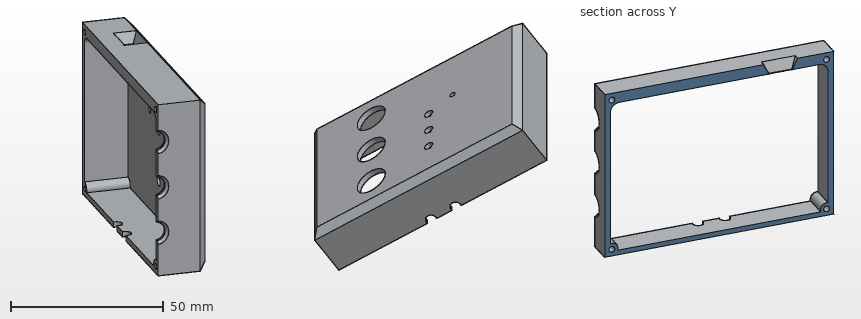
import cadquery as cq

width = 81.5
depth = 17.0
height = 60.0
back_chamfer = 2.5

side_wall = 2.1
bottom_wall = 1.9
top_wall = 4.0
face_thickness = 2.0
cavity_corner_radius = 3.0

screw_inset = 2.5
screw_radius = 1.0
screw_depth = 10.0
post_radius = 2.3

knob_radius = 5.5
knob_x = 16.95
knob_spacing = 17.5
switch_radius = 1.55
switch_x = -5.55
switch_middle_z = -6.0
switch_spacing = 9.0
lamp_radius = 1.0
lamp_x = -14.9
lamp_z = 6.7

window_x = -21.85
window_front_y = 6.6
window_flare_x = 1.9
window_flare_y = 1.7
window_flare_depth = 3.75
window_width = 12.0

jack_radius = 3.3
jack_axis_y = -0.5
jack_flare = 0.9
jack_flare_depth = 1.15
jack_middle_z = 1.1
jack_spacing = 15.9

cable_radius = 1.9
cable_axis_y = 0.6
cable_xs = (-5.4, 4.2)

cavity_depth = depth - face_thickness
shoulder_y = depth - back_chamfer
cavity_width = width - 2 * side_wall
cavity_height = height - bottom_wall - top_wall
cavity_middle_z = (bottom_wall - top_wall) / 2
screw_x = width / 2 - screw_inset
screw_z = height / 2 - screw_inset
screw_points = [(x, z) for x in (-screw_x, screw_x) for z in (-screw_z, screw_z)]
lower_screw_points = [(x, z) for x, z in screw_points if z < 0]


def front_plane(y):
    """XZ sketch plane at the given y; extruding goes towards +Y."""
    return cq.Workplane(cq.Plane(origin=(0, y, 0), xDir=(1, 0, 0), normal=(0, -1, 0)))


def rods_along_y(points, radius, start_y, length):
    return front_plane(start_y).pushPoints(points).circle(radius).extrude(-length)


def outer_body():
    block = front_plane(0).rect(width, height).extrude(-shoulder_y)
    bevel = (
        front_plane(shoulder_y)
        .rect(width, height)
        .workplane(offset=-back_chamfer)
        .rect(width - 2 * back_chamfer, height - 2 * back_chamfer)
        .loft(ruled=True)
    )
    return block.union(bevel)


def cavity():
    """Box with rounded upper corners, leaving the lower screw posts standing."""
    space = (
        front_plane(0)
        .center(0, cavity_middle_z)
        .rect(cavity_width, cavity_height)
        .extrude(-cavity_depth)
        .edges("|Y and >Z")
        .fillet(cavity_corner_radius)
    )
    return space.cut(rods_along_y(lower_screw_points, post_radius, 0, cavity_depth))


def face_holes():
    knob_points = [(knob_x, i * knob_spacing) for i in (-1, 0, 1)]
    switch_points = [(switch_x, switch_middle_z + i * switch_spacing) for i in (-1, 0, 1)]
    start_y = depth / 2
    knobs = rods_along_y(knob_points, knob_radius, start_y, depth)
    switches = rods_along_y(switch_points, switch_radius, start_y, depth)
    lamp = rods_along_y([(lamp_x, lamp_z)], lamp_radius, start_y, depth)
    return knobs.union(switches).union(lamp)


def top_window():
    """Funnel through the top wall that ends in a short straight throat."""
    window_length = shoulder_y - window_front_y
    throat_width = window_width - 2 * window_flare_x
    throat_length = window_length - 2 * window_flare_y
    funnel = (
        cq.Workplane("XY", origin=(window_x, window_front_y + window_length / 2, height / 2))
        .rect(window_width, window_length)
        .workplane(offset=-window_flare_depth)
        .rect(throat_width, throat_length)
        .loft(ruled=True)
    )
    throat = (
        funnel.faces("<Z")
        .workplane()
        .rect(throat_width, throat_length)
        .extrude(top_wall - window_flare_depth, combine=False)
    )
    return funnel.union(throat)


def jack_notch(z):
    """Bore through the +X wall with a conical flare at its outer end."""
    outer_x = width / 2
    profile = [
        (outer_x - side_wall, 0),
        (outer_x - side_wall, jack_radius),
        (outer_x - jack_flare_depth, jack_radius),
        (outer_x, jack_radius + jack_flare),
        (outer_x, 0),
    ]
    return (
        cq.Workplane("XY")
        .polyline(profile)
        .close()
        .revolve(360, (0, 0, 0), (1, 0, 0))
        .translate((0, jack_axis_y, z))
    )


def cable_notch(x):
    return (
        cq.Workplane("XY", origin=(x, cable_axis_y, -height / 2))
        .circle(cable_radius)
        .extrude(bottom_wall)
    )


result = outer_body().cut(cavity()).cut(face_holes()).cut(top_window())
result = result.cut(rods_along_y(screw_points, screw_radius, 0, screw_depth))
for step in (-1, 0, 1):
    result = result.cut(jack_notch(jack_middle_z + step * jack_spacing))
for notch_x in cable_xs:
    result = result.cut(cable_notch(notch_x))